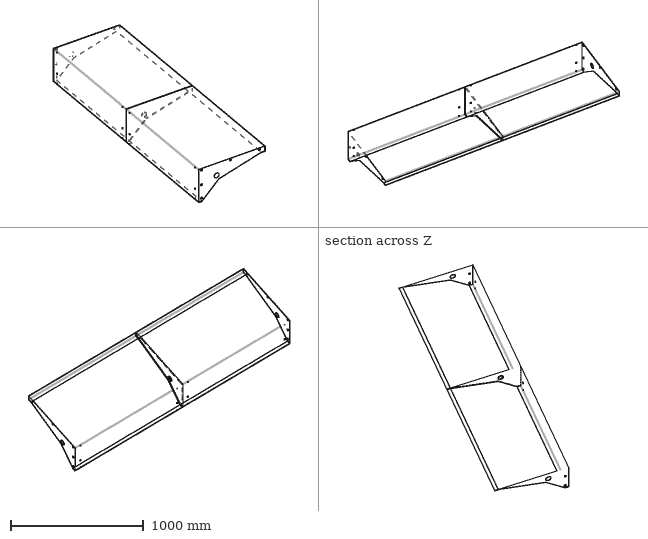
import cadquery as cq

LENGTH = 2000.0
DEPTH = 600.0
HEIGHT = 300.0
SHEET = 3.0

BEND_RADIUS = 5.0
INNER_RADIUS = BEND_RADIUS - SHEET
LIP_HEIGHT = 50.0
RETURN_WIDTH = 32.0

HALF_COUNT = 2
HALF_LENGTH = LENGTH / HALF_COUNT
MOUNT_INSET = 50.0
MOUNT_DIAMETER = 12.0
MOUNT_Z = -200.0
PILOT_DIAMETER = 8.0
PILOT_EDGE_DISTANCE = 10.0

MIDDLE_THICKNESS = 8.0
KNEE_Y = 185.0
KNEE_Z = -150.0
CABLE_HOLE_DIAMETER = 42.0
CABLE_HOLE_Y = 165.0
CABLE_HOLE_Z = -112.0

FIXING_DIAMETER = 15.0
FIXING_FRONT_Y = 28.0
FIXING_TOP_Z = -17.5
FIXING_ROW_PITCH = 260.0
FIXING_ROW_COUNT = 3
FIXING_COLUMN_Z = (-148.0, -268.0)


def make_cover():
    """Bent sheet drawn once around its outer side and back along its inner side."""
    back_return = DEPTH - RETURN_WIDTH
    section = (
        cq.Workplane("YZ")
        .moveTo(RETURN_WIDTH, -HEIGHT)
        .lineTo(BEND_RADIUS, -HEIGHT)
        .radiusArc((0, -HEIGHT + BEND_RADIUS), BEND_RADIUS)
        .lineTo(0, -BEND_RADIUS)
        .radiusArc((BEND_RADIUS, 0), BEND_RADIUS)
        .lineTo(DEPTH - BEND_RADIUS, 0)
        .radiusArc((DEPTH, -BEND_RADIUS), BEND_RADIUS)
        .lineTo(DEPTH, -LIP_HEIGHT + BEND_RADIUS)
        .radiusArc((DEPTH - BEND_RADIUS, -LIP_HEIGHT), BEND_RADIUS)
        .lineTo(back_return, -LIP_HEIGHT)
        .lineTo(back_return, -LIP_HEIGHT + SHEET)
        .lineTo(DEPTH - BEND_RADIUS, -LIP_HEIGHT + SHEET)
        .radiusArc((DEPTH - SHEET, -LIP_HEIGHT + BEND_RADIUS), -INNER_RADIUS)
        .lineTo(DEPTH - SHEET, -BEND_RADIUS)
        .radiusArc((DEPTH - BEND_RADIUS, -SHEET), -INNER_RADIUS)
        .lineTo(BEND_RADIUS, -SHEET)
        .radiusArc((SHEET, -BEND_RADIUS), -INNER_RADIUS)
        .lineTo(SHEET, -HEIGHT + BEND_RADIUS)
        .radiusArc((BEND_RADIUS, -HEIGHT + SHEET), -INNER_RADIUS)
        .lineTo(RETURN_WIDTH, -HEIGHT + SHEET)
        .close()
    )
    cover = section.extrude(LENGTH)
    columns = [
        half * HALF_LENGTH + offset
        for half in range(HALF_COUNT)
        for offset in (MOUNT_INSET, HALF_LENGTH - MOUNT_INSET)
    ]
    pilot_heights = (-PILOT_EDGE_DISTANCE, -HEIGHT + PILOT_EDGE_DISTANCE)
    cover = cover.cut(front_holes(columns, [MOUNT_Z], MOUNT_DIAMETER))
    return cover.cut(front_holes(columns, pilot_heights, PILOT_DIAMETER))


def front_holes(columns, heights, diameter):
    """Cylinders through the front wall, one at every column and height."""
    centres = [(x, z) for x in columns for z in heights]
    wall_back = cq.Workplane("XZ", origin=(0, SHEET, 0))
    return wall_back.pushPoints(centres).circle(diameter / 2).extrude(SHEET)


def make_plate(x_start, thickness):
    """Upright plate that fits inside the cover, on its flanges, with a cable hole."""
    front = SHEET
    back = DEPTH - SHEET
    top = -SHEET
    foot = -HEIGHT + SHEET
    lip_floor = -LIP_HEIGHT + SHEET
    outline = (
        cq.Workplane("YZ", origin=(x_start, 0, 0))
        .moveTo(BEND_RADIUS, top)
        .lineTo(DEPTH - BEND_RADIUS, top)
        .radiusArc((back, -BEND_RADIUS), INNER_RADIUS)
        .lineTo(back, -LIP_HEIGHT + BEND_RADIUS)
        .radiusArc((DEPTH - BEND_RADIUS, lip_floor), INNER_RADIUS)
        .lineTo(DEPTH - RETURN_WIDTH, lip_floor)
        .lineTo(KNEE_Y, KNEE_Z)
        .lineTo(RETURN_WIDTH, foot)
        .lineTo(BEND_RADIUS, foot)
        .radiusArc((front, -HEIGHT + BEND_RADIUS), INNER_RADIUS)
        .lineTo(front, -BEND_RADIUS)
        .radiusArc((BEND_RADIUS, top), INNER_RADIUS)
        .close()
    )
    cable_hole = (
        cq.Workplane("YZ", origin=(x_start, 0, 0))
        .center(CABLE_HOLE_Y, CABLE_HOLE_Z)
        .circle(CABLE_HOLE_DIAMETER / 2)
        .extrude(thickness)
    )
    return outline.extrude(thickness).cut(cable_hole)


def make_end_plate(x_start):
    """Support plate with the extra fixing holes."""
    row = [(FIXING_FRONT_Y + step * FIXING_ROW_PITCH, FIXING_TOP_Z) for step in range(FIXING_ROW_COUNT)]
    column = [(FIXING_FRONT_Y, z) for z in FIXING_COLUMN_Z]
    fixing_holes = (
        cq.Workplane("YZ", origin=(x_start, 0, 0))
        .pushPoints(row + column)
        .circle(FIXING_DIAMETER / 2)
        .extrude(SHEET)
    )
    return make_plate(x_start, SHEET).cut(fixing_holes)


cover = make_cover()
end_plates = [make_end_plate(x_start) for x_start in (0, LENGTH - SHEET)]
middle_plate = make_plate((LENGTH - MIDDLE_THICKNESS) / 2, MIDDLE_THICKNESS)

result = cq.Compound.makeCompound([cover.val(), *[plate.val() for plate in end_plates], middle_plate.val()])